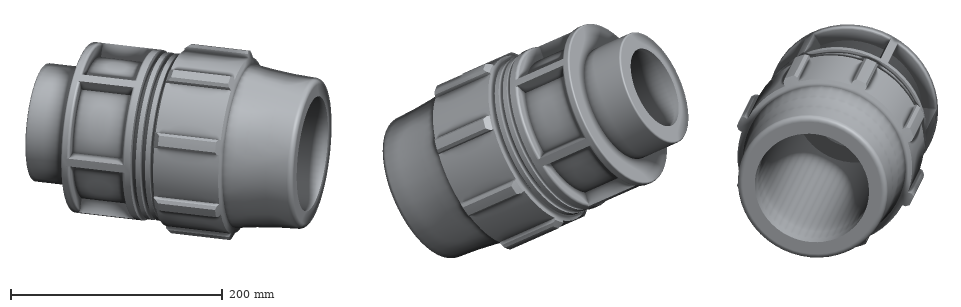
import cadquery as cq

LENGTH = 267.0

SPIGOT_DIAMETER = 113.0
SPIGOT_LENGTH = 42.2
SPIGOT_ROUND = 1.5

BORE_DIAMETER = 79.0
SOCKET_DIAMETER = 110.0
SOCKET_START = 52.9

COLLAR_DIAMETER = 163.0
COLLAR_WIDTH = 8.3
COLLAR_END = 110.5
COLLAR_FACE_ROUND = 1.5
COLLAR_INNER_ROUND = 2.5
DRUM_DIAMETER = 135.6
DRUM_RIB_COUNT = 6
DRUM_RIB_WIDTH = 8.0

NECK_DIAMETER = 144.7
RING_DIAMETER = 159.7
RING_WIDTH = 4.5
RING_STARTS = (115.3, 124.7)

NUT_START = 133.8
NUT_DIAMETER = 168.2
GRIP_END = 197.8
NOSE_START = 200.5
NOSE_START_RADIUS = 78.2
NOSE_MIDDLE = 229.5
NOSE_MIDDLE_RADIUS = 74.2
NOSE_END_RADIUS = 72.0
NOSE_ROUND = 5.0

GRIP_COUNT = 8
GRIP_TIP_RADIUS = 90.2
GRIP_WIDTH = 14.5
GRIP_CHAMFER_DEPTH = 3.0
GRIP_CHAMFER_WIDTH = 2.5
GRIP_FRONT_RADIUS = 86.0
GRIP_FRONT_SLOPE_LENGTH = 5.0

COLLAR_RADIUS = COLLAR_DIAMETER / 2
NUT_RADIUS = NUT_DIAMETER / 2
DRUM_START = SPIGOT_LENGTH + COLLAR_WIDTH
DRUM_END = COLLAR_END - COLLAR_WIDTH


def cylinder(start, end, diameter):
    """Solid cylinder on the X axis between two X positions."""
    return cq.Workplane("YZ").workplane(offset=start).circle(diameter / 2).extrude(end - start)


def revolve_about_x(profile):
    """Full turn of a closed (x, radius) profile about the X axis."""
    return profile.close().revolve(360, (0, 0, 0), (1, 0, 0))


def make_spigot():
    return cylinder(0, DRUM_START, SPIGOT_DIAMETER).faces("<X").edges().fillet(SPIGOT_ROUND)


def make_collars():
    first = cylinder(SPIGOT_LENGTH, DRUM_START, COLLAR_DIAMETER)
    first = first.faces("<X").edges().fillet(COLLAR_FACE_ROUND)
    first = first.faces(">X").edges().fillet(COLLAR_INNER_ROUND)
    second = cylinder(DRUM_END, COLLAR_END, COLLAR_DIAMETER)
    second = second.faces("<X").edges().fillet(COLLAR_INNER_ROUND)
    return first.union(second)


def make_drum():
    """Drum with ribs flush with the collars, reaching over their rounded edges."""
    rib_start = DRUM_START - COLLAR_INNER_ROUND
    rib_end = DRUM_END + COLLAR_INNER_ROUND
    rib_length = rib_end - rib_start
    ribs = cq.Workplane("XY")
    for index in range(DRUM_RIB_COUNT):
        rib = cq.Workplane("XY").box(
            rib_length, COLLAR_RADIUS, DRUM_RIB_WIDTH, centered=(False, False, True)
        )
        rib = rib.translate((rib_start, 0, 0))
        ribs = ribs.add(rib.rotate((0, 0, 0), (1, 0, 0), index * 360 / DRUM_RIB_COUNT))
    ribs = ribs.combine().intersect(cylinder(rib_start, rib_end, COLLAR_DIAMETER))
    return cylinder(DRUM_START, DRUM_END, DRUM_DIAMETER).union(ribs)


def make_neck():
    neck = cylinder(COLLAR_END, NUT_START, NECK_DIAMETER)
    for start in RING_STARTS:
        neck = neck.union(cylinder(start, start + RING_WIDTH, RING_DIAMETER))
    return neck


def make_grip():
    """One straight grip standing toward +Y, with a chamfered tip."""
    half_width = GRIP_WIDTH / 2
    tip_half_width = half_width - GRIP_CHAMFER_WIDTH
    chamfer_start = GRIP_TIP_RADIUS - GRIP_CHAMFER_DEPTH
    return (
        cq.Workplane("YZ")
        .workplane(offset=NUT_START)
        .moveTo(0, -half_width)
        .lineTo(chamfer_start, -half_width)
        .lineTo(GRIP_TIP_RADIUS, -tip_half_width)
        .lineTo(GRIP_TIP_RADIUS, tip_half_width)
        .lineTo(chamfer_start, half_width)
        .lineTo(0, half_width)
        .close()
        .extrude(NOSE_START - NUT_START)
    )


def make_nut():
    """Round nut with grips; one shoulder cone trims the back of both."""
    nut = cylinder(NUT_START, NOSE_START, NUT_DIAMETER)
    grip = make_grip()
    for index in range(GRIP_COUNT):
        angle = (index + 0.5) * 360 / GRIP_COUNT
        nut = nut.union(grip.rotate((0, 0, 0), (1, 0, 0), angle))
    shoulder_slope = (NUT_RADIUS - NOSE_START_RADIUS) / (NOSE_START - GRIP_END)
    tip_end = GRIP_END - (GRIP_TIP_RADIUS - NUT_RADIUS) / shoulder_slope
    envelope = revolve_about_x(
        cq.Workplane("XY")
        .moveTo(NUT_START, 0)
        .lineTo(NUT_START, GRIP_FRONT_RADIUS)
        .lineTo(NUT_START + GRIP_FRONT_SLOPE_LENGTH, GRIP_TIP_RADIUS)
        .lineTo(tip_end, GRIP_TIP_RADIUS)
        .lineTo(NOSE_START, NOSE_START_RADIUS)
        .lineTo(NOSE_START, 0)
    )
    return nut.intersect(envelope)


def make_nose():
    """Concave taper behind the shoulder, rounded at its free end."""
    return revolve_about_x(
        cq.Workplane("XY")
        .moveTo(NOSE_START, 0)
        .lineTo(NOSE_START, NOSE_START_RADIUS)
        .threePointArc((NOSE_MIDDLE, NOSE_MIDDLE_RADIUS), (LENGTH - NOSE_ROUND, NOSE_END_RADIUS))
        .radiusArc((LENGTH, NOSE_END_RADIUS - NOSE_ROUND), NOSE_ROUND)
        .lineTo(LENGTH, 0)
    )


def make_bore():
    narrow = cylinder(0, SOCKET_START, BORE_DIAMETER)
    return narrow.union(cylinder(SOCKET_START, LENGTH, SOCKET_DIAMETER))


result = (
    make_spigot()
    .union(make_collars())
    .union(make_drum())
    .union(make_neck())
    .union(make_nut())
    .union(make_nose())
    .cut(make_bore())
)